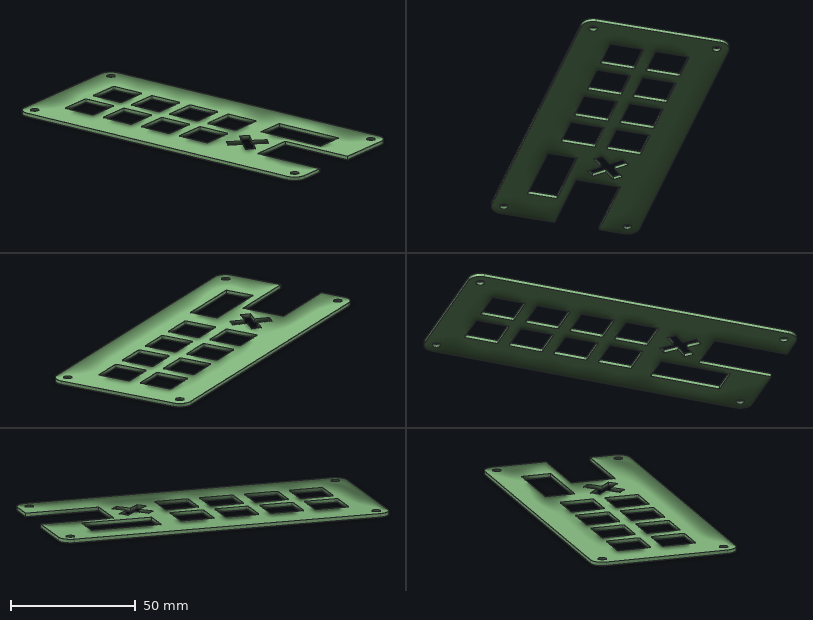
import cadquery as cq

LENGTH = 139.6
WIDTH = 61.5
THICKNESS = 1.5
CORNER_RADIUS = 5.0

HOLE_DIAMETER = 3.4

KEY_SIZE = 14.1
KEY_PITCH = 19.0
KEY_COLUMNS = 4
KEY_ROWS = 2
KEY_CORNER_RADIUS = 0.5
FIRST_COLUMN_INSET = 20.5
KEY_GRID_Y = -0.3

WINDOW_LENGTH = 29.5
WINDOW_WIDTH = 12.3
WINDOW_INSET = 31.0
WINDOW_Y = 13.0

NOTCH_DEPTH = 31.0
NOTCH_WIDTH = 18.5
NOTCH_Y = -6.1

CROSS_SPAN = 16.3
CROSS_ARM_WIDTH = 4.0
CROSS_ANGLE = 45
CROSS_INSET = 42.5
CROSS_Y = -6.8


def block(length, width, x, y):
    """Block as thick as the plate, centred on (x, y)."""
    return cq.Workplane("XY").center(x, y).rect(length, width).extrude(THICKNESS)


def make_plate():
    return block(LENGTH, WIDTH, 0, 0).edges("|Z").fillet(CORNER_RADIUS)


def hole_cutters():
    spacing_x = LENGTH - 2 * CORNER_RADIUS
    spacing_y = WIDTH - 2 * CORNER_RADIUS
    centres = cq.Workplane("XY").rarray(spacing_x, spacing_y, 2, 2)
    return centres.circle(HOLE_DIAMETER / 2).extrude(THICKNESS)


def key_cutters():
    grid_x = -LENGTH / 2 + FIRST_COLUMN_INSET + KEY_PITCH * (KEY_COLUMNS - 1) / 2
    grid = cq.Workplane("XY").center(grid_x, KEY_GRID_Y)
    centres = grid.rarray(KEY_PITCH, KEY_PITCH, KEY_COLUMNS, KEY_ROWS)
    keys = centres.rect(KEY_SIZE, KEY_SIZE).extrude(THICKNESS)
    return keys.edges("|Z").fillet(KEY_CORNER_RADIUS)


def window_cutter():
    return block(WINDOW_LENGTH, WINDOW_WIDTH, LENGTH / 2 - WINDOW_INSET, WINDOW_Y)


def notch_cutter():
    return block(NOTCH_DEPTH, NOTCH_WIDTH, (LENGTH - NOTCH_DEPTH) / 2, NOTCH_Y)


def cross_cutter():
    arm = block(CROSS_SPAN, CROSS_ARM_WIDTH, 0, 0)
    other_arm = block(CROSS_ARM_WIDTH, CROSS_SPAN, 0, 0)
    cross = arm.union(other_arm).rotate((0, 0, 0), (0, 0, 1), CROSS_ANGLE)
    return cross.translate((LENGTH / 2 - CROSS_INSET, CROSS_Y, 0))


result = make_plate()
for cutter in (hole_cutters(), key_cutters(), window_cutter(), notch_cutter(), cross_cutter()):
    result = result.cut(cutter)